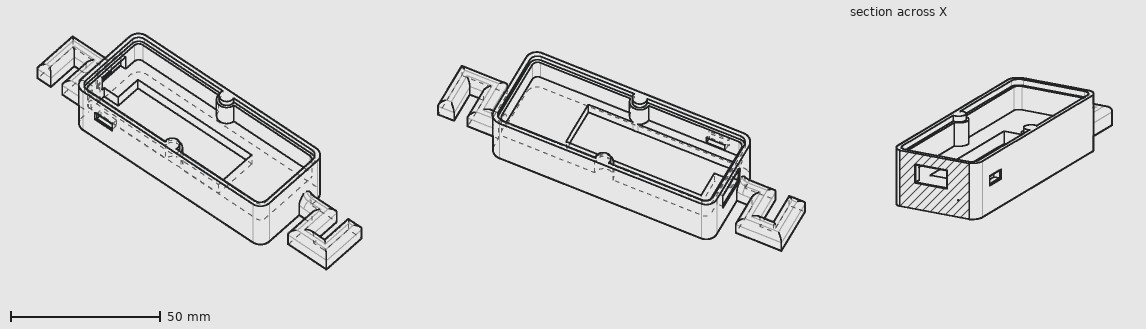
import cadquery as cq

nearest = cq.selectors.NearestToPointSelector

overall_length = 128.0
case_length = 83.1
case_width = 32.4
case_height = 20.0
corner_radius = 4.0
wall = 2.5
inner_corner_radius = 2.0

rim = 1.5
ledge_depth = 2.0
ledge_z = case_height - ledge_depth
ledge_corner_radius = 3.0

floor_z = 9.6
pocket_depth = 4.5
pocket_right = 17.5
pocket_step_x = -32.8
pocket_back = 6.4
pocket_step_y = -3.7
pocket_front = -10.6

post_radius = 3.5
peg_radius = 2.5
post_offset = 14.0

bar = 6.0
hook_gap = 5.0
hook_width = 18.0
hook_height = 7.0
hook_edge_radius = 2.2
root_radius = 2.0

opening_chamfer = 0.4
end_opening_width = 12.7
end_opening_height = 6.9
end_opening_y = 1.3
end_opening_z = floor_z + end_opening_height / 2 - opening_chamfer
side_opening_width = 7.7
side_opening_height = 3.5
side_opening_x = -28.4
side_opening_z = 11.4


def rounded_block(length, width, radius, bottom, top):
    """Upright block centred on Z with rounded vertical corners."""
    block = cq.Workplane("XY").workplane(offset=bottom).rect(length, width).extrude(top - bottom)
    return block.edges("|Z").fillet(radius)


def left_hook():
    """S-shaped hook whose root flares up into the left end of the case."""
    wall_x = -case_length / 2
    tip_x = -overall_length / 2
    outer_bar_end = tip_x + bar
    inner_bar_start = outer_bar_end + hook_gap
    inner_bar_end = inner_bar_start + bar
    back = hook_width / 2
    front = -back
    root_depth = 2 * hook_edge_radius
    root_x = wall_x + root_depth
    outline = [
        (tip_x, front),
        (tip_x, back),
        (inner_bar_end, back),
        (inner_bar_end, front + bar),
        (root_x, front + bar),
        (root_x, front),
        (inner_bar_start, front),
        (inner_bar_start, back - bar),
        (outer_bar_end, back - bar),
        (outer_bar_end, front),
    ]
    hook = cq.Workplane("XY").polyline(outline).close().extrude(hook_height)

    root_height = hook_height + 2 * root_radius
    root = cq.Workplane("XY").box(root_depth, bar, root_height, centered=False)
    hook = hook.union(root.translate((wall_x, front, 0)))
    root_line = nearest((wall_x, front + bar / 2, hook_height))
    hook = hook.edges(root_line).fillet(root_radius)

    flare_line = nearest((wall_x - root_radius, front + bar / 2, hook_height))
    top_face = hook.faces("|Z").faces(nearest((tip_x, 0, hook_height)))
    rounded_edges = cq.selectors.SubtractSelector(cq.selectors.StringSyntaxSelector("#Z"), flare_line)
    return top_face.edges(rounded_edges).fillet(hook_edge_radius)


def case_cavity():
    """Main cavity, lid recess and floor pocket."""
    inner_length = case_length - 2 * wall
    main = rounded_block(inner_length, case_width - 2 * wall, inner_corner_radius, floor_z, case_height)
    recess = rounded_block(
        case_length - 2 * rim, case_width - 2 * rim, ledge_corner_radius, ledge_z, case_height
    )
    pocket_left = -inner_length / 2
    pocket_outline = [
        (pocket_left, pocket_front),
        (pocket_right, pocket_front),
        (pocket_right, pocket_back),
        (pocket_step_x, pocket_back),
        (pocket_step_x, pocket_step_y),
        (pocket_left, pocket_step_y),
    ]
    pocket = cq.Workplane("XY").workplane(offset=floor_z - pocket_depth)
    pocket = pocket.polyline(pocket_outline).close().extrude(pocket_depth)
    return main.union(recess).union(pocket)


def post(side):
    """Post level with the ledge, topped by a narrower peg level with the rim."""
    base = floor_z - pocket_depth
    centre = cq.Workplane("XY").workplane(offset=base).center(0, side * post_offset)
    column = centre.circle(post_radius).extrude(ledge_z - base)
    return column.union(centre.circle(peg_radius).extrude(case_height - base))


def opening(width, height):
    """Cutter through a front wall on Y = 0, chamfered at its outer mouth."""
    narrow_width = width - 2 * opening_chamfer
    narrow_height = height - 2 * opening_chamfer
    through = cq.Workplane("XZ").rect(narrow_width, narrow_height).extrude(-wall)
    mouth = cq.Workplane("XZ").rect(width, height)
    mouth = mouth.workplane(offset=-opening_chamfer).rect(narrow_width, narrow_height).loft(ruled=True)
    return through.union(mouth)


hook = left_hook()
outer_block = rounded_block(case_length, case_width, corner_radius, 0, case_height)
result = outer_block.union(hook).union(hook.rotate((0, 0, 0), (0, 0, 1), 180))
result = result.cut(case_cavity())
for side in (-1, 1):
    result = result.union(post(side).intersect(outer_block))

end_opening = opening(end_opening_width, end_opening_height).rotate((0, 0, 0), (0, 0, 1), -90)
result = result.cut(end_opening.translate((-case_length / 2, end_opening_y, end_opening_z)))
side_opening = opening(side_opening_width, side_opening_height)
result = result.cut(side_opening.translate((side_opening_x, -case_width / 2, side_opening_z)))